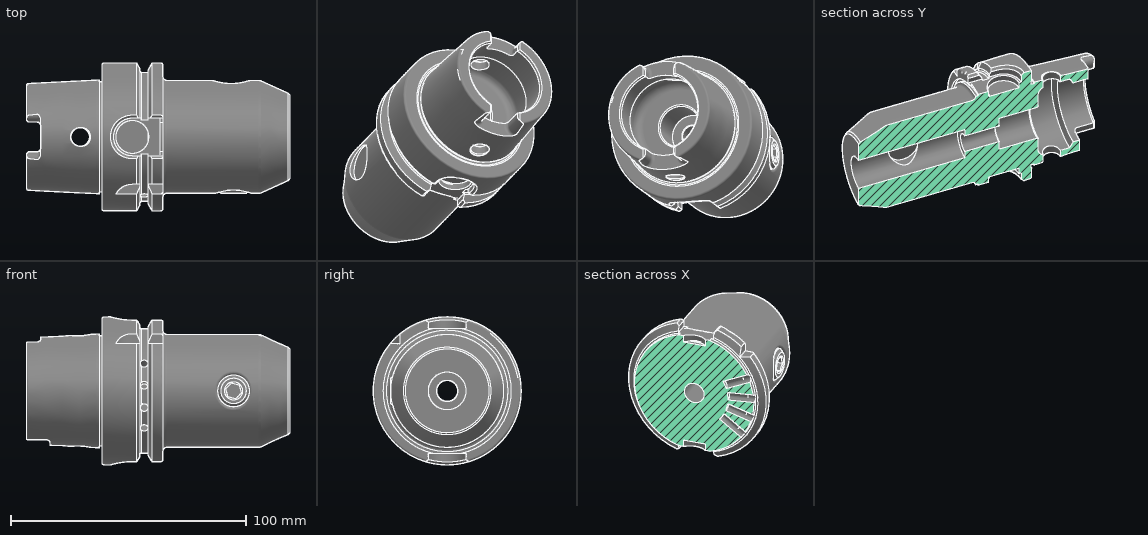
import cadquery as cq
import math


select_margin = 0.1

shank_length = 32.0
gauge_radius = 24.3
shank_slope = 0.05
shank_end_round = 1.0

land_start = -2.25
undercut_start = -1.0
undercut_radius = 23.5
undercut_face_depth = 0.3
undercut_face_radius = 24.8
undercut_bevel = 0.7

flange_radius = 31.5
flange_width = 26.0
flange_edge_round = 1.0

groove_bottom_radius = 27.45
groove_front_edge = 14.8
groove_front_wall = 16.2
groove_front_wall_radius = 29.1
groove_bottom_start = 16.8
groove_bevel_foot = 0.6
groove_bottom_end = 19.6
groove_rear_wall_radius = 28.4
groove_wall_angle = 30.0

rear_groove_depth = 1.2
rear_groove_radius = 27.2
neck_fillet = 1.8

body_radius = 24.0
body_end = 80.0
nose_cone_start = 67.3
nose_cone_end = 79.2
nose_cone_radius = 18.6
nose_edge = 0.8
nose_shoulder_round = 2.4

shank_bore_radius = 17.0
shank_bore_entry_radius = 17.6
shank_bore_entry_depth = 1.0
shank_bore_lip_end = -19.0
clamp_shoulder_angle = 60.0
clamp_cavity_radius = 19.8
clamp_cavity_round = 3.8
clamp_cavity_floor = -3.0
tube_bore_radius = 8.8
tube_bore_chamfer = 0.6
tube_bore_floor = 15.0
coolant_bore_radius = 4.4
coolant_bore_chamfer = 0.25
tool_bore_radius = 8.0
tool_bore_floor = 31.0

slot_half_width = 6.25
slot_lip_round = 3.0
slot_lip_height = 20.8
slot_floor_round = 1.5
slot_entry_chamfer = 0.85
top_slot_depth = 6.0
bottom_slot_depth = 10.0

wrench_hole_x = -9.15
wrench_hole_radius = 3.9
wrench_hole_chamfer = 0.45

keyway_half_width = 8.0
keyway_floor = 26.5
keyway_centre_x = 13.0
keyway_chamfer = 1.3
keyway_recess_radius = 7.0
keyway_recess_depth = 3.0

notch_corner = 20.1
notch_end_x = 13.0
notch_cutter_radius = 8.0

groove_hole_x = 18.0
groove_hole_radius = 1.65
groove_hole_depth = 12.0
groove_hole_angles = (25.0, 5.0, -15.0, -35.0)

screw_x = 56.0
screw_radius = 6.75
screw_head_y = -body_radius
screw_length = body_radius - tool_bore_radius
screw_chamfer = 1.35
screw_hole_round = 1.1
hex_across_flats = 6.0
hex_depth = 6.0
hex_rotation = 15.0
hex_entry_radius = 3.85
hex_entry_depth = 0.4

relief_x = 55.0
relief_radius = 7.7
relief_depth = 2.0


def revolve(points):
    """Turn a closed (x, radius) outline about the X axis."""
    return cq.Workplane("XY").polyline(points).close().revolve(360, (0, 0, 0), (1, 0, 0))


def x_cylinder(radius, start, end):
    return cq.Workplane("YZ").workplane(offset=start).circle(radius).extrude(end - start)


def build_shank():
    end_radius = gauge_radius - shank_slope * shank_length
    land_radius = gauge_radius + shank_slope * land_start
    shank = revolve([
        (-shank_length, 0),
        (-shank_length, end_radius),
        (land_start, land_radius),
        (undercut_start, land_radius),
        (undercut_start, undercut_radius),
        (undercut_face_depth, undercut_radius),
        (undercut_face_depth, 0),
    ])
    return shank.faces("<X").edges().fillet(shank_end_round)


def drive_slot(depth):
    """Slot cutter open upwards, with rounded lips and a rounded floor."""
    lip_start = slot_lip_height - slot_lip_round
    lip_end = slot_half_width + slot_lip_round
    lip_mid_y = lip_end - slot_lip_round * math.cos(math.pi / 4)
    lip_mid_z = lip_start + slot_lip_round * math.sin(math.pi / 4)
    clear = gauge_radius
    profile = (
        cq.Workplane("YZ").workplane(offset=-2 * shank_length)
        .moveTo(-slot_half_width, 0)
        .lineTo(slot_half_width, 0)
        .lineTo(slot_half_width, lip_start)
        .threePointArc((lip_mid_y, lip_mid_z), (lip_end, slot_lip_height))
        .lineTo(clear, slot_lip_height)
        .lineTo(clear, clear)
        .lineTo(-clear, clear)
        .lineTo(-clear, slot_lip_height)
        .lineTo(-lip_end, slot_lip_height)
        .threePointArc((-lip_mid_y, lip_mid_z), (-slot_half_width, lip_start))
        .close()
    )
    cutter = profile.extrude(shank_length + depth)
    cutter = cutter.faces(">X").edges().fillet(slot_floor_round)
    entry_half_width = slot_half_width + slot_entry_chamfer
    entry = (
        cq.Workplane("XY")
        .polyline([
            (-shank_length, -entry_half_width),
            (-shank_length, entry_half_width),
            (-shank_length + slot_entry_chamfer, slot_half_width),
            (-shank_length + slot_entry_chamfer, -slot_half_width),
        ])
        .close()
        .extrude(gauge_radius)
    )
    return cutter.union(entry)


def wrench_hole():
    """Hole across the shank along Z, chamfered where it leaves the surface."""
    surface = gauge_radius + shank_slope * wrench_hole_x
    rim = wrench_hole_radius + wrench_hole_chamfer
    hole = (
        cq.Workplane("XZ")
        .polyline([
            (0, 0),
            (wrench_hole_radius, 0),
            (wrench_hole_radius, surface - wrench_hole_chamfer),
            (rim, surface),
            (rim, flange_radius),
            (0, flange_radius),
        ])
        .close()
        .revolve(360, (0, 0, 0), (0, 1, 0))
        .translate((wrench_hole_x, 0, 0))
    )
    return hole.union(hole.mirror("XY"))


def keyway():
    """U-shaped keyway running out through the rear face of the flange."""
    floor = cq.Workplane("XY", origin=(keyway_centre_x, 0, keyway_floor))
    run_out = (
        floor.center(flange_width / 2, 0)
        .rect(flange_width, 2 * keyway_half_width)
        .extrude(flange_radius)
    )
    return floor.circle(keyway_half_width).extrude(flange_radius).union(run_out)


def flange_outline():
    """Turned flange with rounded rims and the gripper groove."""
    bevel_rise = flange_radius - groove_rear_wall_radius
    groove_rear_rim = groove_bottom_end + bevel_rise * math.tan(math.radians(groove_wall_angle))
    blank = x_cylinder(flange_radius, 0, flange_width)
    blank = blank.edges("%CIRCLE").fillet(flange_edge_round)
    groove = revolve([
        (groove_front_edge, flange_radius),
        (groove_front_wall, groove_front_wall_radius),
        (groove_front_wall, groove_bottom_radius + groove_bevel_foot),
        (groove_bottom_start, groove_bottom_radius),
        (groove_bottom_end, groove_bottom_radius),
        (groove_bottom_end, groove_rear_wall_radius),
        (groove_rear_rim, flange_radius),
    ])
    return blank.cut(groove)


def keyed_blank():
    """Plain flange cylinder with two chamfered keyways, each with a round recess in its floor."""
    blank = x_cylinder(flange_radius, 0, flange_width)
    recess = (
        cq.Workplane("XY", origin=(keyway_centre_x, 0, keyway_floor - keyway_recess_depth))
        .circle(keyway_recess_radius)
        .extrude(flange_radius)
    )
    rim_height = math.sqrt(flange_radius ** 2 - keyway_half_width ** 2)
    rim_box = cq.selectors.BoxSelector(
        (select_margin, -keyway_half_width - select_margin, rim_height - select_margin),
        (flange_width - select_margin, keyway_half_width + select_margin, flange_radius))
    cutter = keyway()
    for turn in (0, 180):
        blank = blank.rotate((0, 0, 0), (1, 0, 0), turn)
        blank = blank.cut(cutter).edges(rim_box).chamfer(keyway_chamfer).cut(recess)
    return blank


def orientation_notch():
    """Square-cornered notch whose closed end keeps the cutter's radius about a Z axis."""
    reach = flange_radius
    cutter_y = -notch_corner - notch_cutter_radius
    straight = cq.Workplane("XY").box(flange_width, reach, reach, centered=False)
    straight = straight.translate((notch_end_x, -notch_corner - reach, notch_corner))
    round_end = (
        cq.Workplane("XY", origin=(notch_end_x, cutter_y, notch_corner))
        .circle(notch_cutter_radius)
        .extrude(reach)
    )
    return straight.union(round_end)


def groove_holes():
    """Radial blind holes in the groove; angles rise from -Y towards +Z."""
    start = groove_bottom_radius - groove_hole_depth
    holes = cq.Workplane("XZ")
    for angle in groove_hole_angles:
        hole = (
            cq.Workplane("XZ", origin=(groove_hole_x, -start, 0))
            .circle(groove_hole_radius)
            .extrude(flange_radius - start)
            .rotate((0, 0, 0), (1, 0, 0), -angle)
        )
        holes = holes.add(hole)
    return holes.combine()


def rear_groove():
    """Annular groove in the rear flange face, just outside the neck fillet."""
    start = flange_width - rear_groove_depth
    core = x_cylinder(body_radius + neck_fillet, start, flange_width)
    return x_cylinder(rear_groove_radius, start, flange_width).cut(core)


def build_neck():
    """Ring whose concave fillet blends the rear flange face into the body."""
    end = flange_width + neck_fillet
    top = body_radius + neck_fillet
    half = neck_fillet * math.cos(math.pi / 4)
    return (
        cq.Workplane("XY")
        .moveTo(flange_width, 0)
        .lineTo(flange_width, top)
        .threePointArc((end - half, top - half), (end, body_radius))
        .lineTo(end, 0)
        .close()
        .revolve(360, (0, 0, 0), (1, 0, 0))
    )


def build_flange():
    flange = flange_outline().intersect(keyed_blank())
    return flange.cut(orientation_notch()).cut(groove_holes())


def build_body():
    """Clamping end: filleted neck, cylinder and tapered nose."""
    body = revolve([
        (groove_bottom_end, 0),
        (groove_bottom_end, body_radius),
        (nose_cone_start, body_radius),
        (nose_cone_end, nose_cone_radius),
        (body_end, nose_cone_radius - nose_edge),
        (body_end, 0),
    ])
    shoulder = cq.selectors.BoxSelector(
        (nose_cone_start - select_margin, -body_radius, -body_radius),
        (nose_cone_start + select_margin, body_radius, body_radius))
    body = body.edges(shoulder).fillet(nose_shoulder_round)
    return body.union(build_neck())


def face_undercut():
    """Shallow bevelled recess in the flange face around the shank."""
    return revolve([
        (0, undercut_radius),
        (undercut_face_depth, undercut_radius),
        (undercut_face_depth, undercut_face_radius),
        (0, undercut_face_radius + undercut_bevel),
    ])


def axial_bore():
    """Shank cavity with its clamping shoulder, coolant tube seat, coolant passage and tool bore."""
    shoulder_rise = clamp_cavity_radius - shank_bore_radius
    shoulder_end = shank_bore_lip_end + shoulder_rise / math.tan(math.radians(clamp_shoulder_angle))
    round_x = clamp_cavity_floor - clamp_cavity_round
    round_r = clamp_cavity_radius - clamp_cavity_round
    round_half = clamp_cavity_round * math.cos(math.pi / 4)
    cavity = (
        cq.Workplane("XY")
        .moveTo(-shank_length, 0)
        .lineTo(-shank_length, shank_bore_entry_radius)
        .lineTo(-shank_length + shank_bore_entry_depth, shank_bore_radius)
        .lineTo(shank_bore_lip_end, shank_bore_radius)
        .lineTo(shoulder_end, clamp_cavity_radius)
        .lineTo(round_x, clamp_cavity_radius)
        .threePointArc((round_x + round_half, round_r + round_half), (clamp_cavity_floor, round_r))
        .lineTo(clamp_cavity_floor, 0)
        .close()
        .revolve(360, (0, 0, 0), (1, 0, 0))
    )
    passage = revolve([
        (clamp_cavity_floor, 0),
        (clamp_cavity_floor, tube_bore_radius + tube_bore_chamfer),
        (clamp_cavity_floor + tube_bore_chamfer, tube_bore_radius),
        (tube_bore_floor, tube_bore_radius),
        (tube_bore_floor, coolant_bore_radius + coolant_bore_chamfer),
        (tube_bore_floor + coolant_bore_chamfer, coolant_bore_radius),
        (tool_bore_floor, coolant_bore_radius),
        (tool_bore_floor, tool_bore_radius),
        (body_end, tool_bore_radius),
        (body_end, 0),
    ])
    return cavity.union(passage)


def cut_side_holes(holder):
    """Screw hole with a rounded rim on the -Y side, and a shallow round relief on the +Y side."""
    screw_hole = cq.Workplane("XZ").center(screw_x, 0).circle(screw_radius).extrude(flange_radius)
    relief = (
        cq.Workplane("XZ", origin=(relief_x, flange_radius, 0))
        .circle(relief_radius)
        .extrude(flange_radius - body_radius + relief_depth)
    )
    rim_depth = body_radius - math.sqrt(body_radius ** 2 - screw_radius ** 2)
    rim = cq.selectors.BoxSelector(
        (screw_x - screw_radius, -body_radius, -screw_radius),
        (screw_x + screw_radius, -body_radius + rim_depth, screw_radius))
    holder = holder.cut(screw_hole).edges(rim).fillet(screw_hole_round)
    return holder.cut(relief)


def build_holder():
    holder = build_shank().union(build_flange()).union(build_body())
    holder = holder.cut(rear_groove()).cut(face_undercut())
    holder = holder.cut(axial_bore()).cut(wrench_hole())
    holder = holder.cut(drive_slot(top_slot_depth))
    holder = holder.cut(drive_slot(bottom_slot_depth).mirror("XY"))
    return cut_side_holes(holder)


def build_screw():
    """Headless screw pointing inwards along +Y, with a hexagon socket."""
    face = cq.Workplane("XZ", origin=(screw_x, screw_head_y, 0))
    screw = face.circle(screw_radius).extrude(-screw_length)
    screw = screw.faces("<Y").edges().chamfer(screw_chamfer)
    hex_diameter = hex_across_flats / math.cos(math.pi / 6)
    socket = face.polygon(6, hex_diameter).extrude(-hex_depth)
    socket = socket.rotate((screw_x, 0, 0), (screw_x, 1, 0), hex_rotation)
    entry = (
        face.circle(hex_entry_radius)
        .workplane(offset=-hex_entry_depth)
        .circle(hex_across_flats / 2)
        .loft()
    )
    return screw.cut(socket).cut(entry)


holder = build_holder()
screw = build_screw()
result = cq.Compound.makeCompound([holder.solids().val(), screw.solids().val()])